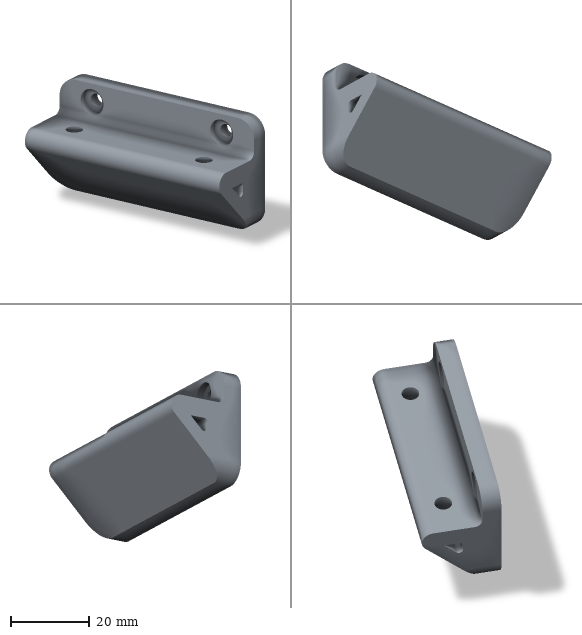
import cadquery as cq

length = 60.0
height = 30.0
wall = 15 / 3
corner_radius = wall

shelf_top = 2 * height / 3
nose_radius = 3.0
root_radius = 2.0

cavity_back = 2 * wall
cavity_top = shelf_top - wall
cavity_radius = 1.0

hole_end_inset = 2 * wall
hole_positions = (hole_end_inset - length / 2, length / 2 - hole_end_inset)
screw_height = height - wall
screw_diameter = 3.4
head_diameter = 7.0
head_depth = 2.0
shelf_hole_diameter = 4.5
shelf_hole_distance = 13.0


def side_prism(points):
    """Extrude an outline of (distance from back, height) points along the full length."""
    return (
        cq.Workplane("YZ")
        .polyline([(-distance, z) for distance, z in points])
        .close()
        .extrude(length / 2, both=True)
    )


def edge_at(distance, z):
    """Select the lengthwise edge at a distance from the back face and a height."""
    return cq.selectors.NearestToPointSelector((0, -distance, z))


def bracket_body():
    shelf_tip = wall + shelf_top
    body = side_prism(
        [(0, 0), (wall, 0), (shelf_tip, shelf_top), (wall, shelf_top), (wall, height), (0, height)]
    )
    body = body.edges(edge_at(shelf_tip, shelf_top)).fillet(nose_radius)
    body = body.edges(edge_at(wall, shelf_top)).fillet(root_radius)
    rounded_front = (
        cq.Workplane("XZ")
        .center(0, height / 2)
        .rect(length, height)
        .extrude(shelf_tip)
        .edges("|Y")
        .fillet(corner_radius)
    )
    return body.intersect(rounded_front)


def cavity():
    prism = side_prism(
        [(cavity_back, cavity_back), (cavity_top, cavity_top), (cavity_back, cavity_top)]
    )
    prism = prism.edges(edge_at(cavity_back, cavity_back)).fillet(cavity_radius)
    return prism.edges(edge_at(cavity_back, cavity_top)).fillet(cavity_radius)


def cylinder_along_y(x, diameter, start, depth):
    """Cylinder at screw height, from a distance in front of the back face, going forward."""
    return (
        cq.Workplane("XZ", origin=(x, -start, screw_height))
        .circle(diameter / 2)
        .extrude(depth)
    )


def screw_hole(x):
    shank = cylinder_along_y(x, screw_diameter, 0, wall)
    head = cylinder_along_y(x, head_diameter, wall - head_depth, head_depth + root_radius)
    return shank.union(head)


def shelf_hole(x):
    return (
        cq.Workplane("XY", origin=(x, -shelf_hole_distance, cavity_top))
        .circle(shelf_hole_diameter / 2)
        .extrude(wall)
    )


result = bracket_body().cut(cavity())
for x in hole_positions:
    result = result.cut(screw_hole(x)).cut(shelf_hole(x))